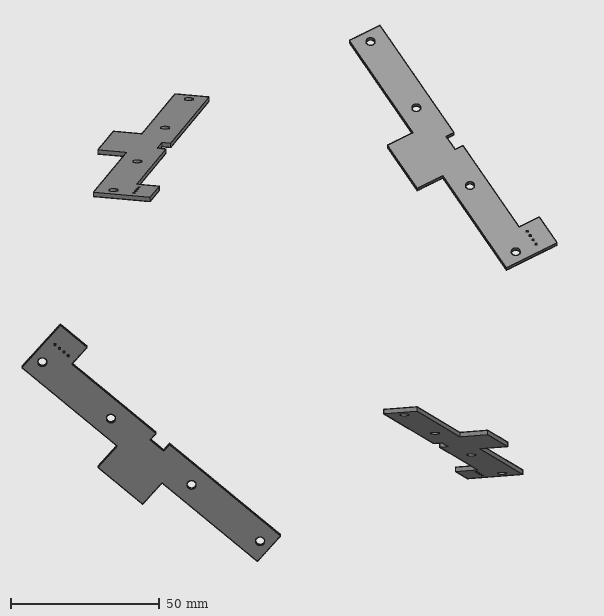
import cadquery as cq

board_length = 105.0
board_width = 29.8
thickness = 1.6

strip_left = 10.0
strip_right = 21.9

tab_width = 20.0

notch_depth = 3.0
notch_width = 6.0

foot_length = 12.0

mount_diameter = 3.0
mount_x = (strip_left + strip_right) / 2
mount_offsets = (18.0, 48.5)

pin_diameter = 0.7
pin_count = 4
pin_pitch = 2.0
pin_x = 23.4
pin_row_centre_y = 6.1

middle_y = board_length / 2


def make_board():
    """Flat board: strip, side tab, foot and edge notch in one outline."""
    notch_floor = strip_right - notch_depth
    outline = [
        (strip_left, 0),
        (board_width, 0),
        (board_width, foot_length),
        (strip_right, foot_length),
        (strip_right, middle_y - notch_width / 2),
        (notch_floor, middle_y - notch_width / 2),
        (notch_floor, middle_y + notch_width / 2),
        (strip_right, middle_y + notch_width / 2),
        (strip_right, board_length),
        (strip_left, board_length),
        (strip_left, middle_y + tab_width / 2),
        (0, middle_y + tab_width / 2),
        (0, middle_y - tab_width / 2),
        (strip_left, middle_y - tab_width / 2),
    ]
    return cq.Workplane("XY").polyline(outline).close().extrude(thickness)


def make_holes(centres, diameter):
    """Cutters through the full thickness at the given centres."""
    return cq.Workplane("XY").pushPoints(centres).circle(diameter / 2).extrude(thickness)


mount_centres = [
    (mount_x, middle_y + side * offset)
    for offset in mount_offsets
    for side in (-1, 1)
]
pin_centres = [
    (pin_x, pin_row_centre_y + (index - (pin_count - 1) / 2) * pin_pitch)
    for index in range(pin_count)
]

result = (
    make_board()
    .cut(make_holes(mount_centres, mount_diameter))
    .cut(make_holes(pin_centres, pin_diameter))
)